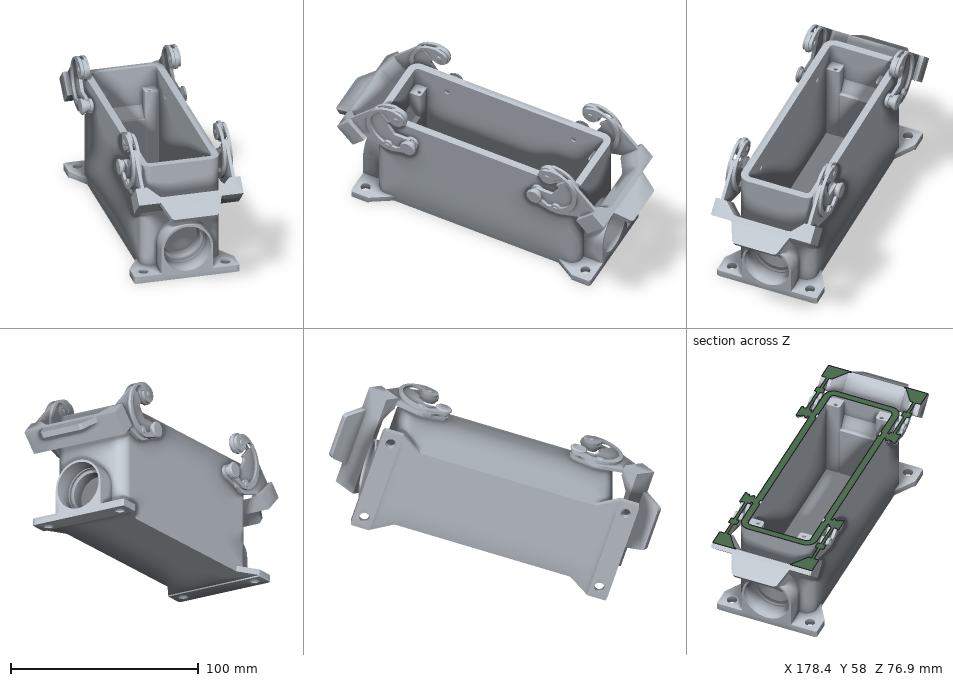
import cadquery as cq
import math


body_half_length = 60.5
body_width = 43.7
body_half_width = body_width / 2
body_top = 63.0
body_bottom = 0.7
body_corner_radius = 6.0
wall = 4.0
floor_thickness = 4.0
cavity_half_length = body_half_length - wall
cavity_half_width = body_half_width - wall
cavity_corner_radius = 2.1

post_inner_x = 50.0
post_inner_y = 10.4
post_top = 50.9
post_corner_radius = 1.6
screw_x = 52.1
screw_y = 13.4
screw_radius = 0.9
screw_countersink = 0.5
screw_depth = 26.8
ledge_top = 34.8
ledge_wall_top = 40.7
ledge_slope_start_x = 52.7

entry_end_x = 71.8
entry_center_z = 17.1
entry_diameter = 28.4
entry_radius = entry_diameter / 2
entry_bore_radius = 13.0
entry_bore_depth = 10.7
entry_step_radius = 12.5
entry_step_depth = 12.3
knockout_diameter = 21.2
knockout_radius = knockout_diameter / 2
knockout_depth = 19.6

foot_width = 58.0
foot_half_width = foot_width / 2
foot_thickness = 4.0
foot_shoulder_x = 60.9
foot_tip_x = 49.3
foot_corner_x = 0.5
foot_corner_y = 1.5
mount_hole_x = 65.9
mount_hole_y = 22.7
mount_hole_radius = 2.7

lever_half_width = 29.0
arm_inner_y = 22.7
arm_outer_y = 27.7
web_inner_y = 24.3
web_outer_y = 26.0
pin_projection = 0.45

arc_center = (-47.5, 61.5)
arc_radius = 15.4
hook_center = (-45.3, 71.4)
roller_radius = arc_center[1] + arc_radius - hook_center[1]
hook_radius = 4.6
pivot = (-37.8, 53.4)
pivot_disc_radius = 3.7
pivot_head_radius = 4.5
pivot_head_chamfer = 0.5
pivot_pin_radius = 2.3
pivot_end_radius = 1.6
pivot_end_recess = 0.9
rivet = (-50.3, 49.3)
rivet_boss_radius = 2.7
small_pin_radius = 1.5
small_pin_chamfer = 0.4
pivot_groove = 0.9

lever_tilt = 45.5
crossbar_distance = 21.0
crossbar_depth = 9.6
crossbar_height = 13.5
crossbar_plate = 3.2
crossbar_gusset_y = 16.6
crossbar_bend_y = 14.8
crossbar_bend_depth = 0.4
grip_tilt = 34.2
grip_thickness = 3.2
grip_length = 11.2
grip_root = 1.8
grip_base_half_width = 16.8
grip_end_half_width = 12.7
grip_corner_radius = 2.1


def block(x_range, y_range, z_range):
    """Box between the given limits."""
    sizes = [high - low for low, high in (x_range, y_range, z_range)]
    corner = (x_range[0], y_range[0], z_range[0])
    return cq.Workplane("XY").box(*sizes, centered=False).translate(corner)


def front_plane(distance):
    """Sketch plane in X and Z, placed at Y = -distance and facing -Y."""
    return cq.Workplane("XZ", origin=(0, -distance, 0))


def disc(center, radius, inner_y, outer_y):
    """Disc across Y on the -Y side."""
    return front_plane(inner_y).center(*center).circle(radius).extrude(outer_y - inner_y)


def both_sides(shape):
    return shape.union(shape.mirror("XZ"))


def both_ends(shape):
    return shape.union(shape.mirror("YZ"))


def make_shell():
    height = body_top - body_bottom
    outer = (
        cq.Workplane("XY", origin=(0, 0, body_bottom))
        .rect(2 * body_half_length, 2 * body_half_width)
        .extrude(height)
        .edges("|Z").fillet(body_corner_radius)
    )
    cavity = (
        cq.Workplane("XY", origin=(0, 0, body_bottom + floor_thickness))
        .rect(2 * cavity_half_length, 2 * cavity_half_width)
        .extrude(height)
        .edges("|Z").fillet(cavity_corner_radius)
    )
    return outer.cut(cavity)


def make_post():
    """Corner post with a countersunk screw hole."""
    post = block(
        (-body_half_length + wall / 2, -post_inner_x),
        (-body_half_width + wall / 2, -post_inner_y),
        (body_bottom, post_top),
    )
    post = post.edges("|Z and >X and >Y").fillet(post_corner_radius)
    top = cq.Workplane("XY", origin=(-screw_x, -screw_y, post_top))
    hole = top.circle(screw_radius).extrude(-screw_depth)
    countersink = (
        top.circle(screw_radius + screw_countersink)
        .workplane(offset=-screw_countersink)
        .circle(screw_radius)
        .loft()
    )
    return post.cut(hole).cut(countersink)


def make_ledge():
    """Thick pad behind the cable entry, sloping up to the end wall."""
    outer_x = -body_half_length + wall / 2
    profile = [
        (outer_x, body_bottom),
        (-post_inner_x, body_bottom),
        (-post_inner_x, ledge_top),
        (-ledge_slope_start_x, ledge_top),
        (-cavity_half_length, ledge_wall_top),
        (outer_x, ledge_wall_top),
    ]
    return front_plane(0).polyline(profile).close().extrude(post_inner_y, both=True)


def make_foot():
    outline = [
        (-entry_end_x, -foot_half_width + foot_corner_y),
        (-entry_end_x + foot_corner_x, -foot_half_width),
        (-foot_shoulder_x, -foot_half_width),
        (-foot_tip_x, -body_half_width),
        (-foot_tip_x, 0),
        (-entry_end_x, 0),
    ]
    foot = cq.Workplane("XY").polyline(outline).close().extrude(foot_thickness)
    relief = block((-foot_shoulder_x, 0), (-foot_half_width, 0), (0, body_bottom))
    hole = (
        cq.Workplane("XY", origin=(-mount_hole_x, -mount_hole_y, 0))
        .circle(mount_hole_radius).extrude(foot_thickness)
    )
    return both_sides(foot.cut(relief).cut(hole))


def make_entry():
    """Round-topped cable entry boss standing on the feet."""
    length = entry_end_x - body_half_length + wall / 2
    end_plane = cq.Workplane("YZ", origin=(-entry_end_x, 0, 0))
    barrel = end_plane.center(0, entry_center_z).circle(entry_radius).extrude(length)
    base = block(
        (-entry_end_x, -entry_end_x + length),
        (-entry_radius, entry_radius),
        (body_bottom, entry_center_z),
    )
    return barrel.union(base)


def make_entry_bore():
    """Stepped bore, closed off at its inner end by a knockout wall."""
    end = cq.Workplane("YZ", origin=(-entry_end_x, 0, entry_center_z))
    bore = end.circle(entry_bore_radius).extrude(entry_bore_depth)
    step = end.circle(entry_step_radius).extrude(entry_step_depth)
    knockout = end.circle(knockout_radius).extrude(knockout_depth)
    return bore.union(step).union(knockout)


def make_rim(inner_y, outer_y):
    """C-shaped side layer of the arm, from the hook round to the pivot."""
    arc_x, arc_z = arc_center
    return (
        front_plane(inner_y)
        .moveTo(arc_x, arc_z + arc_radius)
        .threePointArc((arc_x - arc_radius, arc_z), (arc_x, arc_z - arc_radius))
        .lineTo(-36.2, 49.6)
        .lineTo(*pivot)
        .lineTo(-42.1, 51.4)
        .lineTo(-45.3, 49.3)
        .lineTo(-53.4, 50.9)
        .threePointArc((-60.5, 61.5), (-56.5, 72.1))
        .threePointArc((-53.4, 73.7), (-50.7, 72.0))
        .lineTo(*hook_center)
        .lineTo(-43.7, 75.7)
        .close()
        .extrude(outer_y - inner_y)
        .union(disc(hook_center, hook_radius, inner_y, outer_y))
        .union(disc(pivot, pivot_disc_radius, inner_y, outer_y))
        .union(disc(rivet, rivet_boss_radius, inner_y, outer_y))
    )


def make_core():
    """Middle layer: the web, the roller at the hook and a spacer at the pivot."""
    roller = disc(hook_center, roller_radius, web_inner_y, web_outer_y)
    spacer = disc(pivot, pivot_disc_radius - pivot_groove, web_inner_y, web_outer_y)
    return make_web().union(roller).union(spacer)


tilt = math.radians(lever_tilt)
along = (-math.cos(tilt), -math.sin(tilt))
across = (math.sin(tilt), -math.cos(tilt))


def offset_point(point, direction, distance):
    return (point[0] + distance * direction[0], point[1] + distance * direction[1])


tangent_point = offset_point(arc_center, across, -arc_radius)
crossbar_inner = offset_point(tangent_point, along, crossbar_distance)
crossbar_outer = offset_point(crossbar_inner, along, crossbar_depth)


def make_web():
    """Flat middle plate that joins the crossbar to the arm."""
    outline = [
        tangent_point,
        crossbar_inner,
        offset_point(crossbar_inner, across, crossbar_height),
        (-60.9, 47.1),
        (-51.8, 44.3),
        (-49.0, 44.3),
        (-44.3, 46.2),
        pivot,
        (pivot[0], 57.5),
        (-47.3, 57.5),
        (-51.0, 63.0),
        (-51.0, 65.1),
        (-50.0, 65.7),
        (-56.5, 72.1),
    ]
    return front_plane(web_inner_y).polyline(outline).close().extrude(web_outer_y - web_inner_y)


def make_arm():
    arm = (
        make_core()
        .union(make_rim(arm_inner_y, web_inner_y))
        .union(make_rim(web_outer_y, arm_outer_y))
    )
    for center in (hook_center, rivet):
        pin = disc(center, small_pin_radius, arm_inner_y - pin_projection, arm_outer_y + pin_projection)
        arm = arm.union(pin.edges("%CIRCLE").chamfer(small_pin_chamfer))
    pivot_pin = disc(pivot, pivot_pin_radius, body_half_width - wall / 2, arm_outer_y)
    head = disc(pivot, pivot_head_radius, arm_outer_y, lever_half_width)
    head = head.faces("<Y").edges().chamfer(pivot_head_chamfer)
    return arm.union(pivot_pin).union(head)


def make_crossbar():
    """Full-width bar: solid ends, with a thin plate and sloped gussets between them."""
    half_outline = [
        (0, lever_half_width),
        (0, arm_inner_y),
        (crossbar_depth - crossbar_plate - crossbar_bend_depth, crossbar_gusset_y),
        (crossbar_depth - crossbar_plate, crossbar_bend_y),
    ]
    mirrored = [(depth, -y) for depth, y in reversed(half_outline)]
    outline = (
        [(crossbar_depth, lever_half_width)] + half_outline + mirrored
        + [(crossbar_depth, -lever_half_width)]
    )
    plane = cq.Plane(
        origin=(crossbar_inner[0], 0, crossbar_inner[1]),
        xDir=(along[0], 0, along[1]),
        normal=(across[0], 0, across[1]),
    )
    return cq.Workplane(plane).polyline(outline).close().extrude(crossbar_height)


def make_grip():
    """Finger tab sloping down and outward from the crossbar's upper outer edge."""
    outline = [
        (grip_root, grip_base_half_width),
        (0, grip_base_half_width),
        (-grip_length, grip_end_half_width),
        (-grip_length, -grip_end_half_width),
        (0, -grip_base_half_width),
        (grip_root, -grip_base_half_width),
    ]
    tab = cq.Workplane("XY").polyline(outline).close().extrude(-grip_thickness)
    tab = tab.edges("|Z and <X").fillet(grip_corner_radius)
    tab = tab.rotate((0, 0, 0), (0, 1, 0), -grip_tilt)
    return tab.translate((crossbar_outer[0], 0, crossbar_outer[1]))


def make_lever():
    return both_sides(make_arm()).union(make_crossbar()).union(make_grip())


end_features = (
    both_sides(make_post())
    .union(make_ledge())
    .union(make_entry())
    .union(make_foot())
)
pivot_recess = both_sides(
    disc(pivot, pivot_end_radius, cavity_half_width, cavity_half_width + pivot_end_recess)
)

result = (
    make_shell()
    .union(both_ends(end_features))
    .union(both_ends(make_lever()))
    .cut(both_ends(make_entry_bore()))
    .cut(both_ends(pivot_recess))
)